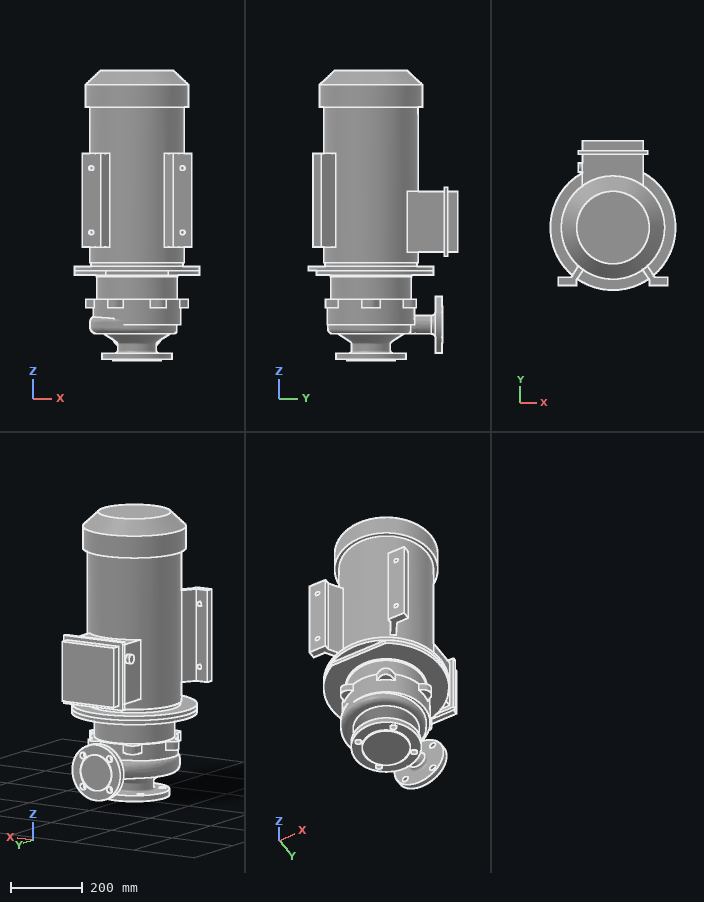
import cadquery as cq
import math

SUCTION_FLANGE_BOTTOM = 4.0
SUCTION_FLANGE_TOP = 21.0
CONE_BOTTOM = 50.0
VOLUTE_BOTTOM = 74.5
CASING_BOTTOM = 100.0
CASING_TOP = 172.0
LANTERN_TOP = 239.0
MATING_PLANE = 251.0
MOTOR_FLANGE_TOP = 263.0
MOTOR_BODY_BOTTOM = 273.0
FAN_COVER_BOTTOM = 707.0
FAN_COVER_SHOULDER = 769.5
TOTAL_HEIGHT = 810.0

SUCTION_FACE_RADIUS = 67.0
SUCTION_FLANGE_RADIUS = 98.0
SUCTION_PIPE_RADIUS = 54.0
PIPE_FILLET = 7.0
THROAT_TANGENT = 5.0
CONE_TOP_RADIUS = 92.0
CASING_RADIUS = 122.0
LANTERN_RADIUS = 112.5
LANTERN_COLLAR_RADIUS = 114.0
LANTERN_COLLAR_HEIGHT = 5.0

JOINT_FLANGE_RADIUS = 175.0
JOINT_FLAT_WIDTH = 173.0

LUG_COUNT = 6
LUG_CENTRE_RADIUS = 124.0
LUG_TIP_RADIUS = 19.5
LUG_HEIGHT = 24.0
LUG_FLANK_ANGLE = 32.0
LUG_FLANK_LENGTH = 24.0

TUBE_HALF = 26.0
LOWER_CASING_RADIUS = 112.0
VOLUTE_START_RADIUS = 110.0
VOLUTE_RADIUS_GROWTH = 21.0
VOLUTE_START_ROUNDING = 10.5
VOLUTE_ROUNDING_GROWTH = 9.0
VOLUTE_STEP_ANGLE = 45.0
VOLUTE_STEPS = 5
PIPE_SIDE_HALF_FLAT = 0.1
PIPE_ROUNDING = TUBE_HALF - PIPE_SIDE_HALF_FLAT

DISCHARGE_Z = VOLUTE_BOTTOM + TUBE_HALF
DISCHARGE_FLANGE_BACK = 180.0
DISCHARGE_FLANGE_FRONT = 198.5
DISCHARGE_FACE = 201.0
DISCHARGE_FLANGE_RADIUS = 79.0
DISCHARGE_FACE_RADIUS = 51.0
DISCHARGE_FILLET = 11.0
PIPE_END = DISCHARGE_FLANGE_BACK - DISCHARGE_FILLET

BOLT_COUNT = 4
BOLT_HOLE_DIAMETER = 18.0
SUCTION_BOLT_RADIUS = 80.0
DISCHARGE_BOLT_RADIUS = 62.0

MOTOR_NECK_RADIUS = 129.0
MOTOR_RADIUS = 132.0
FAN_COVER_RADIUS = 144.0
FAN_COVER_TOP_RADIUS = 101.0

BOX_WIDTH = 170.0
BOX_BOTTOM = 303.0
BOX_TOP = 472.0
BOX_FACE = 242.0
LID_BACK = 204.0
LID_FRONT = 215.0
LID_OVERHANG = 12.0
GLAND_Y = 168.0
GLAND_Z = 429.0
GLAND_RADIUS = 13.0

FOOT_BOTTOM = 317.0
FOOT_TOP = 578.0
PAD_INNER_X = 101.0
PAD_OUTER_X = 153.0
PAD_FRONT_Y = -162.0
PAD_BACK_Y = -138.5
WEB_ANGLE = 57.0
WEB_LENGTH = 49.0
WEB_INNER_FOOT_Y = -146.0
WEB_OUTER_FOOT_X = 117.0
FOOT_HOLE_X = 127.0
FOOT_HOLE_HEIGHTS = (358.0, 537.0)
FOOT_HOLE_DIAMETER = 13.0


def disc(radius, bottom, top):
    """Upright cylinder on the shaft axis."""
    return cq.Workplane("XY").workplane(offset=bottom).circle(radius).extrude(top - bottom)


def discharge_workplane(y):
    """Workplane across the discharge axis, facing +Y."""
    return cq.Workplane(cq.Plane(origin=(0, y, DISCHARGE_Z), xDir=(1, 0, 0), normal=(0, 1, 0)))


def disc_along_y(radius, back, front):
    """Cylinder on the discharge axis, between two Y positions."""
    return discharge_workplane(back).circle(radius).extrude(front - back)


def on_bolt_circle(workplane, radius):
    """Centres of the flange bolts, set between the flange's two main axes."""
    return workplane.polarArray(radius, 180 / BOLT_COUNT, 360, BOLT_COUNT)


def make_suction():
    """Suction flange, pipe and cone."""
    flange = disc(SUCTION_FLANGE_RADIUS, SUCTION_FLANGE_BOTTOM, SUCTION_FLANGE_TOP)
    holes = on_bolt_circle(cq.Workplane("XY"), SUCTION_BOLT_RADIUS)
    flange = flange.cut(holes.circle(BOLT_HOLE_DIAMETER / 2).extrude(SUCTION_FLANGE_TOP))
    raised_face = disc(SUCTION_FACE_RADIUS, 0, SUCTION_FLANGE_BOTTOM)
    cone_run = CONE_TOP_RADIUS - SUCTION_PIPE_RADIUS
    cone_rise = VOLUTE_BOTTOM - CONE_BOTTOM
    tangent_share = THROAT_TANGENT / math.hypot(cone_run, cone_rise)
    cone_start = (
        SUCTION_PIPE_RADIUS + cone_run * tangent_share,
        CONE_BOTTOM + cone_rise * tangent_share,
    )
    throat = (
        cq.Workplane("XZ")
        .moveTo(0, SUCTION_FLANGE_BOTTOM)
        .lineTo(SUCTION_PIPE_RADIUS + PIPE_FILLET, SUCTION_FLANGE_BOTTOM)
        .lineTo(SUCTION_PIPE_RADIUS + PIPE_FILLET, SUCTION_FLANGE_TOP)
        .radiusArc((SUCTION_PIPE_RADIUS, SUCTION_FLANGE_TOP + PIPE_FILLET), PIPE_FILLET)
        .lineTo(SUCTION_PIPE_RADIUS, CONE_BOTTOM - THROAT_TANGENT)
        .tangentArcPoint(cone_start, relative=False)
        .lineTo(CONE_TOP_RADIUS, VOLUTE_BOTTOM)
        .lineTo(0, VOLUTE_BOTTOM)
        .close()
        .revolve(360, (0, 0, 0), (0, 1, 0))
    )
    return flange.union(raised_face).union(throat)


def make_lug(angle):
    """Round-nosed lug whose flanks widen towards the casing, at an angle around the shaft."""
    flank = math.radians(LUG_FLANK_ANGLE)
    nose_x = LUG_CENTRE_RADIUS + LUG_TIP_RADIUS * math.sin(flank)
    nose_y = LUG_TIP_RADIUS * math.cos(flank)
    root_x = nose_x - LUG_FLANK_LENGTH * math.cos(flank)
    root_y = nose_y + LUG_FLANK_LENGTH * math.sin(flank)
    return (
        cq.Workplane("XY")
        .workplane(offset=CASING_TOP - LUG_HEIGHT)
        .moveTo(root_x, -root_y)
        .lineTo(nose_x, -nose_y)
        .threePointArc((LUG_CENTRE_RADIUS + LUG_TIP_RADIUS, 0), (nose_x, nose_y))
        .lineTo(root_x, root_y)
        .close()
        .extrude(LUG_HEIGHT)
        .rotate((0, 0, 0), (0, 0, 1), angle)
    )


def tube_section(x, y, flow_direction, rounding):
    """Rounded square outline of the volute tube, across the flow."""
    plane = cq.Plane(origin=(x, y, DISCHARGE_Z), xDir=(0, 0, 1), normal=flow_direction)
    outline = cq.Sketch().rect(2 * TUBE_HALF, 2 * TUBE_HALF).vertices().fillet(rounding)
    return outline.moved(plane.location)


def make_volute():
    """Tube spiralling clockwise around the casing and leaving towards +Y."""
    sections = []
    for step in range(VOLUTE_STEPS + 1):
        turn = step * VOLUTE_STEP_ANGLE / 180
        radius = VOLUTE_START_RADIUS + VOLUTE_RADIUS_GROWTH * turn - TUBE_HALF
        rounding = VOLUTE_START_ROUNDING + VOLUTE_ROUNDING_GROWTH * turn
        cosine = math.cos(math.pi * turn)
        sine = math.sin(math.pi * turn)
        flow_direction = (-sine, -cosine, 0)
        sections.append(tube_section(radius * cosine, -radius * sine, flow_direction, rounding))
    sections.append(tube_section(0, PIPE_END, (0, 1, 0), PIPE_ROUNDING))
    return cq.Workplane("XY").placeSketch(*sections).loft()


def make_discharge_flange():
    """Discharge flange with its raised face and the fillet at the pipe."""
    flange = disc_along_y(DISCHARGE_FLANGE_RADIUS, DISCHARGE_FLANGE_BACK, DISCHARGE_FLANGE_FRONT)
    holes = on_bolt_circle(discharge_workplane(DISCHARGE_FLANGE_BACK), DISCHARGE_BOLT_RADIUS)
    flange_thickness = DISCHARGE_FLANGE_FRONT - DISCHARGE_FLANGE_BACK
    flange = flange.cut(holes.circle(BOLT_HOLE_DIAMETER / 2).extrude(flange_thickness))
    raised_face = disc_along_y(DISCHARGE_FACE_RADIUS, DISCHARGE_FLANGE_FRONT, DISCHARGE_FACE)
    fillet_foot = TUBE_HALF + DISCHARGE_FILLET
    neck = (
        cq.Workplane("XY", origin=(0, 0, DISCHARGE_Z))
        .moveTo(0, PIPE_END)
        .lineTo(TUBE_HALF, PIPE_END)
        .radiusArc((fillet_foot, DISCHARGE_FLANGE_BACK), DISCHARGE_FILLET)
        .lineTo(fillet_foot, DISCHARGE_FLANGE_FRONT)
        .lineTo(0, DISCHARGE_FLANGE_FRONT)
        .close()
        .revolve(360, (0, 0, 0), (0, 1, 0))
    )
    return flange.union(raised_face).union(neck)


def make_joint_flange():
    """Lower joint flange, cut flat on the feet side."""
    flange = disc(JOINT_FLANGE_RADIUS, LANTERN_TOP, MATING_PLANE)
    flat_y = -math.sqrt(JOINT_FLANGE_RADIUS**2 - (JOINT_FLAT_WIDTH / 2) ** 2)
    beyond_flat = (
        cq.Workplane("XY")
        .workplane(offset=LANTERN_TOP)
        .center(0, flat_y - JOINT_FLANGE_RADIUS)
        .rect(2 * JOINT_FLANGE_RADIUS, 2 * JOINT_FLANGE_RADIUS)
        .extrude(MATING_PLANE - LANTERN_TOP)
    )
    return flange.cut(beyond_flat)


def make_pump():
    """Pump: suction, volute, casing, lantern and the lower joint flange."""
    lower_casing = (
        disc(LOWER_CASING_RADIUS, VOLUTE_BOTTOM, CASING_BOTTOM)
        .faces("<Z")
        .edges()
        .fillet(VOLUTE_START_ROUNDING)
    )
    pump = make_suction().union(lower_casing)
    pump = pump.union(disc(CASING_RADIUS, CASING_BOTTOM, CASING_TOP))
    pump = pump.union(make_volute()).union(make_discharge_flange())
    for index in range(LUG_COUNT):
        pump = pump.union(make_lug(index * 360 / LUG_COUNT))
    pump = pump.union(disc(LANTERN_RADIUS, CASING_TOP, LANTERN_TOP))
    pump = pump.union(disc(LANTERN_COLLAR_RADIUS, LANTERN_TOP - LANTERN_COLLAR_HEIGHT, LANTERN_TOP))
    return pump.union(make_joint_flange())


def make_terminal_box():
    """Terminal box on the +Y side, with its lid rim and cable gland."""
    height = BOX_TOP - BOX_BOTTOM
    box = cq.Workplane("XY").box(BOX_WIDTH, BOX_FACE, height, centered=(True, False, False))
    rim = (
        cq.Workplane("XY", origin=(0, LID_BACK, -LID_OVERHANG))
        .box(
            BOX_WIDTH + 2 * LID_OVERHANG,
            LID_FRONT - LID_BACK,
            height + 2 * LID_OVERHANG,
            centered=(True, False, False),
        )
    )
    gland = (
        cq.Workplane("YZ", origin=(-BOX_WIDTH / 2 - LID_OVERHANG, GLAND_Y, GLAND_Z - BOX_BOTTOM))
        .circle(GLAND_RADIUS)
        .extrude(LID_OVERHANG)
    )
    return box.union(rim).union(gland).translate((0, 0, BOX_BOTTOM))


def make_foot():
    """Foot on the +X side: a drilled pad on a slanted web."""
    reach_x = WEB_LENGTH * math.cos(math.radians(WEB_ANGLE))
    reach_y = WEB_LENGTH * math.sin(math.radians(WEB_ANGLE))
    foot = (
        cq.Workplane("XY")
        .workplane(offset=FOOT_BOTTOM)
        .polyline(
            [
                (PAD_OUTER_X, PAD_FRONT_Y),
                (PAD_INNER_X, PAD_FRONT_Y),
                (PAD_INNER_X, WEB_INNER_FOOT_Y),
                (PAD_INNER_X - reach_x, WEB_INNER_FOOT_Y + reach_y),
                (WEB_OUTER_FOOT_X - reach_x, PAD_BACK_Y + reach_y),
                (WEB_OUTER_FOOT_X, PAD_BACK_Y),
                (PAD_OUTER_X, PAD_BACK_Y),
            ]
        )
        .close()
        .extrude(FOOT_TOP - FOOT_BOTTOM)
    )
    holes = (
        cq.Workplane("XZ", origin=(0, PAD_BACK_Y, 0))
        .pushPoints([(FOOT_HOLE_X, height) for height in FOOT_HOLE_HEIGHTS])
        .circle(FOOT_HOLE_DIAMETER / 2)
        .extrude(PAD_BACK_Y - PAD_FRONT_Y)
    )
    return foot.cut(holes)


def make_motor():
    """Motor: upper joint flange, body, fan cover, terminal box and two feet."""
    fan_cover = disc(FAN_COVER_RADIUS, FAN_COVER_BOTTOM, FAN_COVER_SHOULDER)
    fan_cover_top = (
        cq.Workplane("XY")
        .workplane(offset=FAN_COVER_SHOULDER)
        .circle(FAN_COVER_RADIUS)
        .workplane(offset=TOTAL_HEIGHT - FAN_COVER_SHOULDER)
        .circle(FAN_COVER_TOP_RADIUS)
        .loft()
    )
    foot = make_foot()
    return (
        disc(JOINT_FLANGE_RADIUS, MATING_PLANE, MOTOR_FLANGE_TOP)
        .union(disc(MOTOR_NECK_RADIUS, MOTOR_FLANGE_TOP, MOTOR_BODY_BOTTOM))
        .union(disc(MOTOR_RADIUS, MOTOR_BODY_BOTTOM, FAN_COVER_BOTTOM))
        .union(fan_cover)
        .union(fan_cover_top)
        .union(make_terminal_box())
        .union(foot)
        .union(foot.mirror("YZ"))
    )


pump = make_pump()
motor = make_motor()

result = cq.Compound.makeCompound([pump.solids().val(), motor.solids().val()])